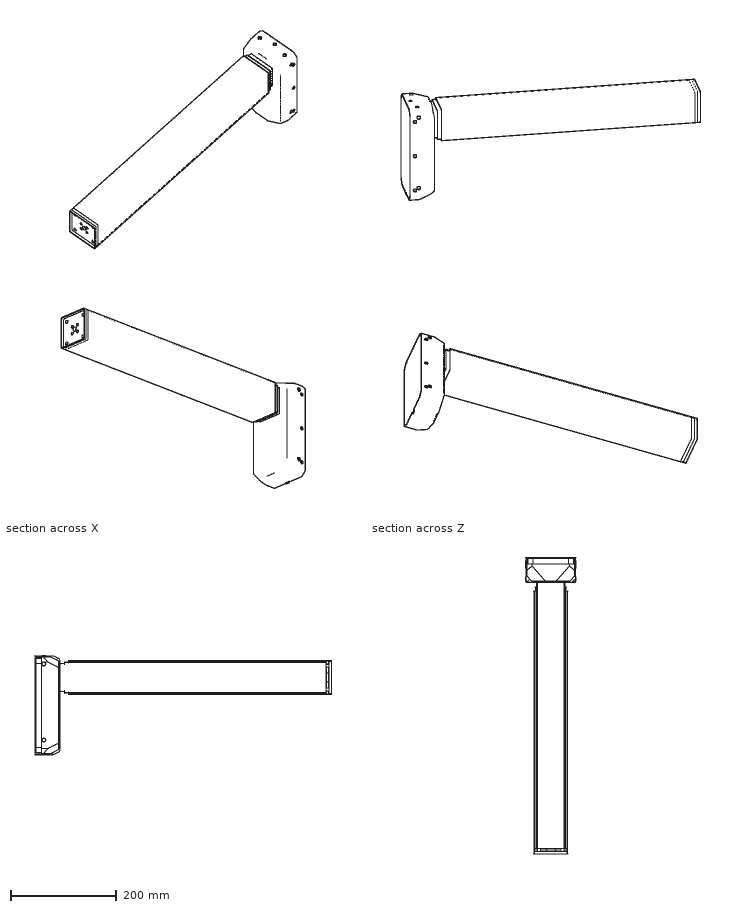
import cadquery as cq


housing_width = 96.0
housing_depth = 48.0
housing_top = 42.0
housing_height = 189.0
housing_wall = 3.0
housing_bottom = housing_top - housing_height
housing_middle_z = housing_top - housing_height / 2
corner_chamfer = 9.5
facet_along_x = 35.0
facet_along_y = 39.5
facet_along_z = 20.0
edge_radius = 4.5

cover_screw_diameter = 6.0
cover_screw_setback = 9.5
cover_screw_pitch = 70.5
mount_hole_diameter = 7.0
mount_hole_setback = 17.0
side_mount_upper_z = 26.0
side_mount_pitch = 145.0
top_mount_pitch = 63.0

cover_thickness = 2.0
rim_depth = 13.0
tab_width = 8.5
tab_height = 1.5

outer_tube_size = 65.0
middle_tube_size = 60.0
inner_tube_size = 54.5
inner_tube_wall = 2.0
slide_clearance = 0.85
outer_tube_bore = middle_tube_size + 2 * slide_clearance
middle_tube_bore = inner_tube_size + 2 * slide_clearance
inner_tube_bore = inner_tube_size - 2 * inner_tube_wall
outer_tube_radius = 3.5
tube_corner_step = 0.5
outer_tube_start = 64.0
middle_tube_start = 56.5
inner_tube_start = housing_depth
column_end = 564.0
middle_tube_radius = outer_tube_radius - tube_corner_step
inner_tube_radius = middle_tube_radius - tube_corner_step

plate_recess = 5.0
plate_thickness = 5.5
plate_back = column_end - plate_recess - plate_thickness
corner_hole_pitch = 45.0
corner_hole_diameter = 5.5
inner_hole_pitch = 14.0
inner_hole_diameter = 5.0
center_hole_diameter = 8.5


def octagon_block(inset, depth):
    """Block from the housing back toward -Y with chamfered corners, its sides moved in by `inset`."""
    return (
        cq.Workplane("XZ", origin=(0, 0, housing_middle_z))
        .rect(housing_width - 2 * inset, housing_height - 2 * inset)
        .extrude(depth)
        .edges("|Y")
        .chamfer(corner_chamfer)
    )


def corner_wedge(corner, side, end):
    """Tetrahedron at a front corner of the block, cut away to leave a sloping facet."""
    points = [
        corner,
        corner + cq.Vector(-side * facet_along_x, 0, 0),
        corner + cq.Vector(0, facet_along_y, 0),
        corner + cq.Vector(0, 0, -end * facet_along_z),
    ]
    faces = []
    for skipped in points:
        triangle = [point for point in points if point is not skipped]
        faces.append(cq.Face.makeFromWires(cq.Wire.makePolygon(triangle, close=True)))
    return cq.Solid.makeSolid(cq.Shell.makeShell(faces))


def faceted_block(inset):
    """Housing shape with sharp edges, every side except the open back moved in by `inset`."""
    depth = housing_depth - inset
    block = octagon_block(inset, depth)
    for side in (-1, 1):
        for end in (-1, 1):
            corner = cq.Vector(
                side * (housing_width / 2 - inset),
                -depth,
                housing_middle_z + end * (housing_height / 2 - inset),
            )
            block = block.cut(cq.Workplane(corner_wedge(corner, side, end)))
    return block


def side_holes(heights, setback, diameter):
    """Cutters along X that pass through both side walls at the given heights."""
    return (
        cq.Workplane("YZ")
        .pushPoints([(-setback, height) for height in heights])
        .circle(diameter / 2)
        .extrude(housing_width, both=True)
    )


def top_holes(offsets, setback, diameter):
    """Cutters along Z that pass through the top wall only."""
    return (
        cq.Workplane("XY", origin=(0, 0, housing_top - housing_wall))
        .pushPoints([(offset, -setback) for offset in offsets])
        .circle(diameter / 2)
        .extrude(housing_wall)
    )


def cover_tab():
    """Small tongue of the cover that passes through the bottom wall and stands proud of it."""
    length = housing_wall + tab_height
    middle_z = housing_bottom + housing_wall - length / 2
    return cq.Workplane("XZ", origin=(0, 0, middle_z)).rect(tab_width, length).extrude(cover_thickness)


def make_housing():
    housing = faceted_block(0).edges("not(>Y)").fillet(edge_radius).cut(faceted_block(housing_wall))
    screw_heights = [housing_middle_z + step * cover_screw_pitch for step in (-1, 0, 1)]
    mount_heights = [side_mount_upper_z, side_mount_upper_z - side_mount_pitch]
    mount_offsets = [-top_mount_pitch / 2, top_mount_pitch / 2]
    return (
        housing.cut(side_holes(screw_heights, cover_screw_setback, cover_screw_diameter))
        .cut(side_holes(mount_heights, mount_hole_setback, mount_hole_diameter))
        .cut(top_holes([0], cover_screw_setback, cover_screw_diameter))
        .cut(top_holes(mount_offsets, mount_hole_setback, mount_hole_diameter))
        .cut(cover_tab())
    )


def make_cover():
    """Shallow pan that closes the back of the housing, its rim lying against the housing walls."""
    hollow = octagon_block(housing_wall + cover_thickness, rim_depth).translate((0, -cover_thickness, 0))
    return octagon_block(housing_wall, rim_depth).cut(hollow).union(cover_tab())


def make_tube(size, bore_size, corner_radius, start, end):
    """Square tube toward -Y with rounded corners inside and out."""
    outside = rounded_bar(size, corner_radius, start, end - start)
    bore = rounded_bar(bore_size, corner_radius - tube_corner_step, start, end - start)
    return outside.cut(bore)


def rounded_bar(size, corner_radius, start, length):
    """Square bar toward -Y with rounded long edges."""
    bar = cq.Workplane("XZ", origin=(0, -start, 0)).rect(size, size).extrude(length)
    return bar.edges("|Y").fillet(corner_radius)


def make_end_plate():
    """Square plate that closes the outer tube, drilled right through."""
    plate = rounded_bar(outer_tube_bore, middle_tube_radius, plate_back, plate_thickness)
    for pitch, diameter in (
        (corner_hole_pitch, corner_hole_diameter),
        (inner_hole_pitch, inner_hole_diameter),
    ):
        plate = plate.faces("<Y").workplane(origin=(0, 0, 0)).rect(pitch, pitch, forConstruction=True)
        plate = plate.vertices().hole(diameter)
    return plate.faces("<Y").workplane(origin=(0, 0, 0)).hole(center_hole_diameter)


housing = make_housing()
cover = make_cover()
outer_tube = make_tube(
    outer_tube_size, outer_tube_bore, outer_tube_radius, outer_tube_start, column_end
)
middle_tube = make_tube(
    middle_tube_size, middle_tube_bore, middle_tube_radius, middle_tube_start, plate_back
)
inner_tube = make_tube(
    inner_tube_size, inner_tube_bore, inner_tube_radius, inner_tube_start, plate_back
)
end_plate = make_end_plate()

result = cq.Compound.makeCompound(
    [
        housing.val(),
        cover.val(),
        outer_tube.val(),
        middle_tube.val(),
        inner_tube.val(),
        end_plate.val(),
    ]
)